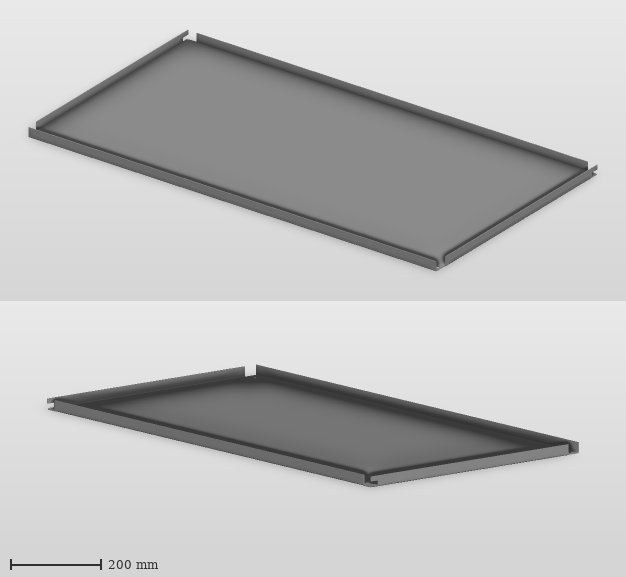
import cadquery as cq

LENGTH = 1131.0
WIDTH = 600.0
HEIGHT = 25.0

SHEET = 2.0
BEND_RADIUS = 3.0

FRONT_CLEARANCE = 33.0
FRONT_INSET = 3.0
BACK_CLEARANCE = 26.0
NOTCH_LENGTH = 20.0
NOTCH_TOP = 14.0

SLOT_LENGTH = 18.0
SLOT_WIDTH = 8.0
SLOT_FROM_SIDE = 17.0
SLOT_FROM_FRONT = 18.0

HALF_LENGTH = LENGTH / 2
HALF_WIDTH = WIDTH / 2
SIDE_START = -HALF_WIDTH + FRONT_CLEARANCE


def block(x_min, x_max, y_min, y_max, z_min, z_max):
    """Rectangular block between the given limits."""
    size = (x_max - x_min, y_max - y_min, z_max - z_min)
    return cq.Workplane("XY").box(*size, centered=False).translate((x_min, y_min, z_min))


def flange(run):
    """Folded flange whose outer face is at x = 0, running along +Y from y = 0."""
    profile = (
        cq.Workplane("XZ")
        .moveTo(-BEND_RADIUS, 0)
        .radiusArc((0, BEND_RADIUS), -BEND_RADIUS)
        .lineTo(0, HEIGHT)
        .lineTo(-SHEET, HEIGHT)
        .lineTo(-SHEET, BEND_RADIUS)
        .radiusArc((-BEND_RADIUS, SHEET), BEND_RADIUS - SHEET)
        .close()
    )
    return profile.extrude(-run)


def floor():
    """Flat sheet between the folds, narrower along its front strip."""
    main_half = HALF_LENGTH - BEND_RADIUS
    front_half = HALF_LENGTH - FRONT_INSET
    front_fold = -HALF_WIDTH + BEND_RADIUS
    main_sheet = block(-main_half, main_half, SIDE_START, HALF_WIDTH - BEND_RADIUS, 0, SHEET)
    front_strip = block(-front_half, front_half, front_fold, SIDE_START, 0, SHEET)
    return main_sheet.union(front_strip)


def side_flange():
    """Right flange, notched just above the bend at its back end."""
    blank = flange(HALF_WIDTH - SIDE_START).translate((HALF_LENGTH, SIDE_START, 0))
    notch_start = HALF_WIDTH - NOTCH_LENGTH
    notch = block(
        HALF_LENGTH - BEND_RADIUS, HALF_LENGTH, notch_start, HALF_WIDTH, BEND_RADIUS, NOTCH_TOP
    )
    relief = block(
        HALF_LENGTH - BEND_RADIUS, HALF_LENGTH, HALF_WIDTH - BEND_RADIUS, HALF_WIDTH, 0, NOTCH_TOP
    )
    return blank.cut(notch).cut(relief)


def back_corner():
    """Flat floor left beside the right end of the shortened back flange."""
    return block(
        HALF_LENGTH - BACK_CLEARANCE,
        HALF_LENGTH - BEND_RADIUS,
        HALF_WIDTH - BEND_RADIUS,
        HALF_WIDTH,
        0,
        SHEET,
    )


def end_flange(run):
    """Flange along the back edge, centred on x = 0."""
    turned = flange(run).rotate((0, 0, 0), (0, 0, 1), 90)
    return turned.translate((run / 2, HALF_WIDTH, 0))


def floor_slots():
    x = HALF_LENGTH - SLOT_FROM_SIDE
    y = -HALF_WIDTH + SLOT_FROM_FRONT
    return (
        cq.Workplane("XY")
        .pushPoints([(-x, y), (x, y)])
        .rect(SLOT_LENGTH, SLOT_WIDTH)
        .extrude(SHEET)
    )


right_flange = side_flange().union(back_corner())
left_flange = right_flange.mirror("YZ")
back_flange = end_flange(LENGTH - 2 * BACK_CLEARANCE)
front_flange = end_flange(LENGTH - 2 * FRONT_INSET).mirror("XZ")

result = floor()
for folded_part in (right_flange, left_flange, back_flange, front_flange):
    result = result.union(folded_part)
result = result.cut(floor_slots())